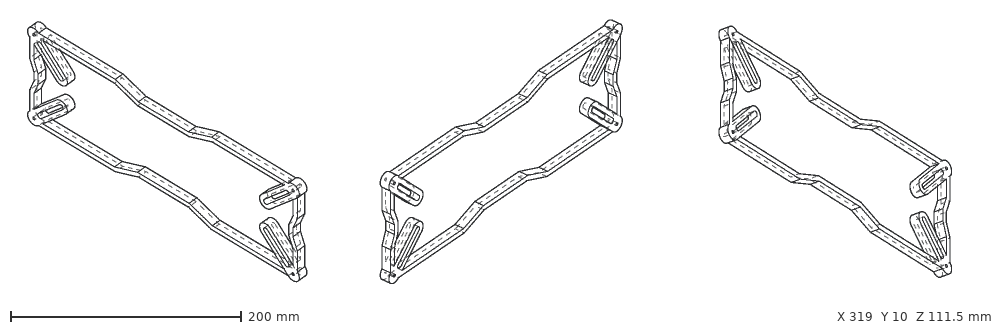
import cadquery as cq
import math

LENGTH = 319.0
HEIGHT = 111.5
THICKNESS = 10.0
ARM_WIDTH = 15.0
RAIL_WIDTH = 5.0
HOLE_DIAMETER = 2.5
SLOT_WIDTH = 5.0
SLOT_START = 10.0
ARM_REACH = 45.0

LONG_JOG_HALF_OPENING = 56.5
LONG_JOG_HALF_FLOOR = 29.5
LONG_JOG_DEPTH = 10.0
SHORT_JOG_HALF_OPENING = 18.5
SHORT_JOG_HALF_FLOOR = 5.0
SHORT_JOG_DEPTH = 5.0

CORNER_X = LENGTH / 2 - ARM_WIDTH / 2
CORNER_Z = HEIGHT / 2 - ARM_WIDTH / 2

END_PIECE_CORNER = (1, -1)
SHARED_CORNER = (1, 1)
FRAME_CORNERS = [(-1, -1), (-1, 1), SHARED_CORNER]


def extrude_along_y(sketch):
    """Extrude an XZ sketch symmetrically about the plane Y = 0."""
    return sketch.extrude(THICKNESS / 2, both=True)


def jogged_rail(half_span, inner_edge, half_opening, half_floor, depth):
    """Rail along +X, outer edge on the +Z side, with a constant-width jog towards -Z."""
    outer_edge = inner_edge + RAIL_WIDTH
    slope_angle = math.atan2(depth, half_opening - half_floor)
    bend_shift = RAIL_WIDTH * math.tan(slope_angle / 2)
    inner_opening = half_opening + bend_shift
    inner_floor = half_floor + bend_shift
    outline = [
        (-half_span, outer_edge),
        (-half_opening, outer_edge),
        (-half_floor, outer_edge - depth),
        (half_floor, outer_edge - depth),
        (half_opening, outer_edge),
        (half_span, outer_edge),
        (half_span, inner_edge),
        (inner_opening, inner_edge),
        (inner_floor, inner_edge - depth),
        (-inner_floor, inner_edge - depth),
        (-inner_opening, inner_edge),
        (-half_span, inner_edge),
    ]
    return extrude_along_y(cq.Workplane("XZ").polyline(outline).close())


def turned(body, angle):
    """Turn a body about the Y axis through the frame centre."""
    return body.rotate((0, 0, 0), (0, 1, 0), angle)


def diagonal_slot(side_x, side_z, start, end, width):
    """Round-ended bar along a corner diagonal; start and end are its arc centres."""
    middle = (start + end) / 2 / math.sqrt(2)
    sketch = (
        cq.Workplane("XZ")
        .center(side_x * (CORNER_X - middle), side_z * (CORNER_Z - middle))
        .slot2D(end - start + width, width, 45 * side_x * side_z)
    )
    return extrude_along_y(sketch)


def corner_arm(side_x, side_z):
    return diagonal_slot(side_x, side_z, 0, ARM_REACH, ARM_WIDTH)


def corner_openings(side_x, side_z):
    slot = diagonal_slot(side_x, side_z, SLOT_START, ARM_REACH, SLOT_WIDTH)
    hole_sketch = (
        cq.Workplane("XZ")
        .center(side_x * CORNER_X, side_z * CORNER_Z)
        .circle(HOLE_DIAMETER / 2)
    )
    return slot.union(extrude_along_y(hole_sketch))


def make_end_rail():
    """Rail at the -X end, running between the two corner holes there."""
    rail = jogged_rail(
        CORNER_Z, CORNER_X, SHORT_JOG_HALF_OPENING, SHORT_JOG_HALF_FLOOR, SHORT_JOG_DEPTH
    )
    return turned(rail, -90)


def make_long_rail():
    """Rail along the +Z side, running between the two corner holes there."""
    return jogged_rail(
        CORNER_X, CORNER_Z, LONG_JOG_HALF_OPENING, LONG_JOG_HALF_FLOOR, LONG_JOG_DEPTH
    )


def make_frame():
    """Both long rails and the -X end rail with three arms, cut back at the end piece's arm."""
    frame = make_long_rail().union(turned(make_long_rail(), 180)).cut(corner_arm(*END_PIECE_CORNER))
    frame = frame.union(make_end_rail())
    for corner in FRAME_CORNERS:
        frame = frame.union(corner_arm(*corner))
    for corner in FRAME_CORNERS:
        frame = frame.cut(corner_openings(*corner))
    return frame


def make_end_piece():
    """The +X end rail and its lower arm, cut back to fit against the frame's upper arm."""
    end_piece = turned(make_end_rail(), 180).union(corner_arm(*END_PIECE_CORNER))
    end_piece = end_piece.cut(corner_arm(*SHARED_CORNER))
    return end_piece.cut(corner_openings(*END_PIECE_CORNER))


frame = make_frame()
end_piece = make_end_piece()

result = cq.Compound.makeCompound([frame.solids().val(), end_piece.solids().val()])